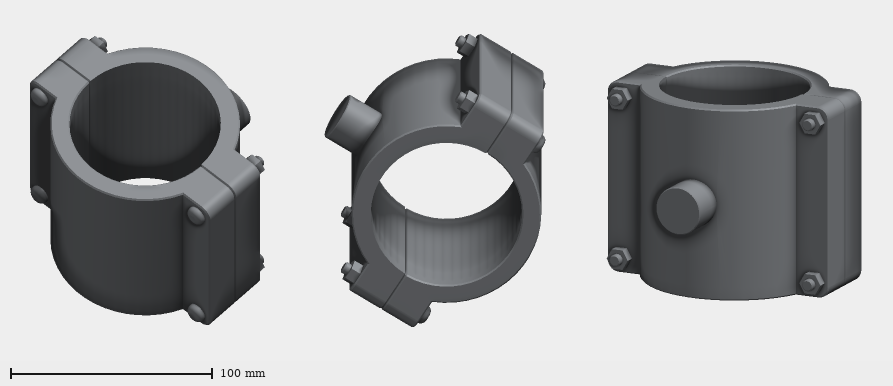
import cadquery as cq
import math

clamp_height = 98.0
clamp_width = 122.0
outer_radius = 47.0
bore_radius = 37.5
flange_thickness = 18.8
flange_corner_radius = 6.0
edge_chamfer = 0.7

spigot_diameter = 24.3
spigot_end_y = 63.9
spigot_chamfer = 0.5

bolt_x = 53.1
bolt_z = 41.1
bolt_diameter = 6.0
bolt_end_y = 26.8
bolt_end_chamfer = 0.6
head_diameter = 10.0
head_height = 3.8
head_rounding = 2.9
nut_sides = 6
nut_across_flats = 10.0
nut_height = 5.0

half_height = clamp_height / 2
half_width = clamp_width / 2
nut_across_corners = nut_across_flats / math.cos(math.pi / nut_sides)
shoulder_x = math.sqrt(outer_radius**2 - flange_thickness**2)


def workplane_facing_back(y, x=0, z=0):
    """Workplane at the given point, with its normal along +Y and its local x along -X."""
    return cq.Workplane(cq.Plane(origin=(x, y, z), xDir=(-1, 0, 0), normal=(0, 1, 0)))


def plain_shell():
    """Half shell on the +Y side with rounded flange corners and sharp edges."""
    shell = (
        cq.Workplane("XY", origin=(0, 0, -half_height))
        .moveTo(bore_radius, 0)
        .lineTo(half_width, 0)
        .lineTo(half_width, flange_thickness)
        .lineTo(shoulder_x, flange_thickness)
        .threePointArc((0, outer_radius), (-shoulder_x, flange_thickness))
        .lineTo(-half_width, flange_thickness)
        .lineTo(-half_width, 0)
        .lineTo(-bore_radius, 0)
        .threePointArc((0, bore_radius), (bore_radius, 0))
        .close()
        .extrude(clamp_height)
    )
    return shell.edges("|Y and (<X or >X)").fillet(flange_corner_radius)


def chamfered_shell():
    """Half shell with its parting edges and its outer edges chamfered."""
    shell = plain_shell().faces("<Y").edges().chamfer(edge_chamfer)
    flange_faces = shell.faces("|Y").faces(">Y")
    flange_edges = flange_faces.edges().filter(lambda edge: abs(edge.Center().x) > shoulder_x + edge_chamfer)
    barrel_rims = shell.edges("%CIRCLE").filter(lambda edge: math.isclose(edge.radius(), outer_radius))
    return shell.newObject(flange_edges.vals() + barrel_rims.vals()).chamfer(edge_chamfer)


def rear_shell():
    """Rear half with the spigot growing out of the middle of its wall."""
    spigot_start_y = (bore_radius + outer_radius) / 2
    spigot = (
        workplane_facing_back(spigot_start_y)
        .circle(spigot_diameter / 2)
        .extrude(spigot_end_y - spigot_start_y)
        .faces(">Y")
        .chamfer(spigot_chamfer)
    )
    return chamfered_shell().union(spigot)


def front_shell():
    """Front half, mirrored from the rear, with the bore rims chamfered as well."""
    shell = chamfered_shell().mirror("XZ")
    bore_rims = shell.edges("%CIRCLE").filter(lambda edge: math.isclose(edge.radius(), bore_radius))
    return shell.newObject(bore_rims.vals()).chamfer(edge_chamfer)


def bolt(x, z):
    """Round-headed bolt with a hexagon nut, corners of the nut along X."""
    shank = (
        workplane_facing_back(-flange_thickness, x, z)
        .circle(bolt_diameter / 2)
        .extrude(bolt_end_y + flange_thickness)
        .faces(">Y")
        .chamfer(bolt_end_chamfer)
    )
    head = (
        workplane_facing_back(-flange_thickness - head_height, x, z)
        .circle(head_diameter / 2)
        .extrude(head_height)
        .faces("<Y")
        .edges()
        .fillet(head_rounding)
    )
    nut = (
        workplane_facing_back(flange_thickness, x, z)
        .polygon(nut_sides, nut_across_corners)
        .extrude(nut_height)
    )
    return shank.union(head).union(nut)


result = rear_shell().union(front_shell())
for x in (-bolt_x, bolt_x):
    for z in (-bolt_z, bolt_z):
        result = result.union(bolt(x, z))